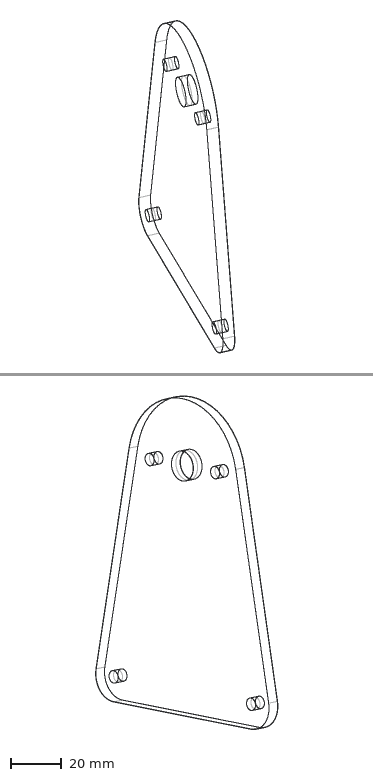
import cadquery as cq
import math

height = 127.0
width = 95.5
thickness = 5.0

top_radius = 30.0
corner_radius = 9.9
top_center_z = height - top_radius
corner_x = width / 2 - corner_radius
corner_z = corner_radius

shaft_hole_diameter = 12.0
screw_hole_diameter = 5.0
upper_hole_z = 100.0
upper_screw_x = 18.0
lower_screw_x = 37.9
lower_screw_z = 10.0

center_dx = corner_x
center_dz = top_center_z - corner_z
center_distance = math.hypot(center_dx, center_dz)
flank_angle = math.atan2(center_dx, center_dz) - math.asin(
    (top_radius - corner_radius) / center_distance
)


def arc_point(center_x, center_z, radius, angle):
    """Point on a circle, with the angle measured up from +X."""
    return (center_x + radius * math.cos(angle), center_z + radius * math.sin(angle))


def mirrored(point):
    return (-point[0], point[1])


def make_plate():
    corner_mid_angle = (flank_angle - math.pi / 2) / 2
    corner_start = (corner_x, 0)
    corner_middle = arc_point(corner_x, corner_z, corner_radius, corner_mid_angle)
    flank_bottom = arc_point(corner_x, corner_z, corner_radius, flank_angle)
    flank_top = arc_point(0, top_center_z, top_radius, flank_angle)
    return (
        cq.Workplane("XZ")
        .moveTo(*corner_start)
        .threePointArc(corner_middle, flank_bottom)
        .lineTo(*flank_top)
        .threePointArc((0, height), mirrored(flank_top))
        .lineTo(*mirrored(flank_bottom))
        .threePointArc(mirrored(corner_middle), mirrored(corner_start))
        .close()
        .extrude(thickness / 2, both=True)
    )


def make_hole_cutters(centers, diameter):
    return (
        cq.Workplane("XZ")
        .pushPoints(centers)
        .circle(diameter / 2)
        .extrude(thickness, both=True)
    )


screw_centers = [
    (side * x, z)
    for side in (-1, 1)
    for x, z in ((upper_screw_x, upper_hole_z), (lower_screw_x, lower_screw_z))
]

result = (
    make_plate()
    .cut(make_hole_cutters([(0, upper_hole_z)], shaft_hole_diameter))
    .cut(make_hole_cutters(screw_centers, screw_hole_diameter))
)